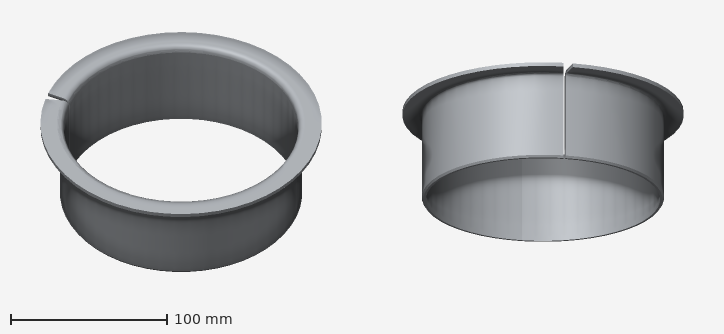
import cadquery as cq
import math

flange_diameter = 180.0
total_height = 60.0
wall = 2.5
bore_diameter = 150.0
outer_bend_radius = 1.8
lip_length = 1.5
lip_depth = 0.9
split_mouth_width = 6.1
split_angle = 20.0

flange_radius = flange_diameter / 2
bore_radius = bore_diameter / 2
sleeve_radius = bore_radius + wall
inner_bend_radius = outer_bend_radius + wall
bend_center_radius = sleeve_radius + outer_bend_radius
bend_center_z = total_height - inner_bend_radius
flange_bottom_z = total_height - wall
diagonal = math.sqrt(0.5)


def bend_midpoint(radius):
    """Middle of a quarter bend joining the sleeve to the flange."""
    return (bend_center_radius - radius * diagonal, bend_center_z + radius * diagonal)


def flanged_sleeve():
    """Revolve the constant-thickness wall around Z."""
    profile = (
        cq.Workplane("XZ")
        .moveTo(bore_radius, 0)
        .lineTo(sleeve_radius - lip_depth, 0)
        .lineTo(sleeve_radius, lip_length)
        .lineTo(sleeve_radius, bend_center_z)
        .threePointArc(bend_midpoint(outer_bend_radius), (bend_center_radius, flange_bottom_z))
        .lineTo(flange_radius, flange_bottom_z)
        .lineTo(flange_radius, total_height)
        .lineTo(bend_center_radius, total_height)
        .threePointArc(bend_midpoint(inner_bend_radius), (bore_radius, bend_center_z))
        .close()
    )
    return profile.revolve(360, (0, 0, 0), (0, 1, 0))


def split_cutter():
    """V-shaped split on -X over the full height, narrowest at the bore."""
    half_mouth = split_mouth_width / 2
    apex_radius = flange_radius - half_mouth / math.tan(math.radians(split_angle / 2))
    return (
        cq.Workplane("XY")
        .moveTo(-apex_radius, 0)
        .lineTo(-flange_radius, half_mouth)
        .lineTo(-flange_radius, -half_mouth)
        .close()
        .extrude(total_height)
    )


result = flanged_sleeve().cut(split_cutter())